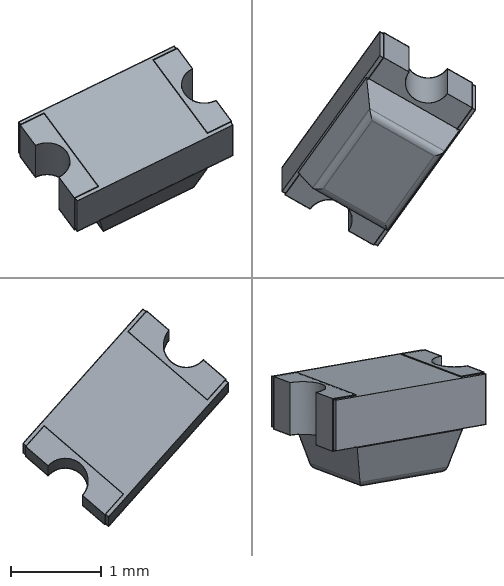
import cadquery as cq

length = 2.02
overall_height = 1.1

body_width = 1.25
plating = 0.01
base_plating = 0.015
plating_width = 1.16
terminal_depth = 0.31
notch_radius = 0.25

lens_width = 1.215
lens_height = 0.5
lens_draft = 15.0
lens_edge_radius = 0.087

lens_length = length - 2 * terminal_depth
body_length = length - 2 * plating
body_bottom = lens_height + base_plating
body_top = overall_height - plating
block_height = overall_height - lens_height


def box_on(width, depth, height, bottom, center_y=0.0):
    """Box centred in X, standing on the given Z level."""
    return (
        cq.Workplane("XY", origin=(0, center_y, bottom))
        .box(width, depth, height, centered=(True, True, False))
    )


def make_lens():
    """Lens narrowing downward, with only its bottom rim rounded."""
    return (
        cq.Workplane("XY", origin=(0, 0, lens_height))
        .rect(lens_width, lens_length)
        .extrude(-lens_height, taper=lens_draft)
        .faces("<Z")
        .edges()
        .fillet(lens_edge_radius)
    )


part = box_on(body_width, body_length, body_top - body_bottom, body_bottom)
part = part.union(box_on(plating_width, length, base_plating, lens_height))
part = part.union(make_lens())

for side in (-1, 1):
    terminal_y = side * (length - terminal_depth) / 2
    part = part.union(box_on(plating_width, terminal_depth, block_height, lens_height, terminal_y))
    notch = (
        cq.Workplane("XY", origin=(0, side * length / 2, lens_height))
        .circle(notch_radius)
        .extrude(block_height)
    )
    part = part.cut(notch)

result = part